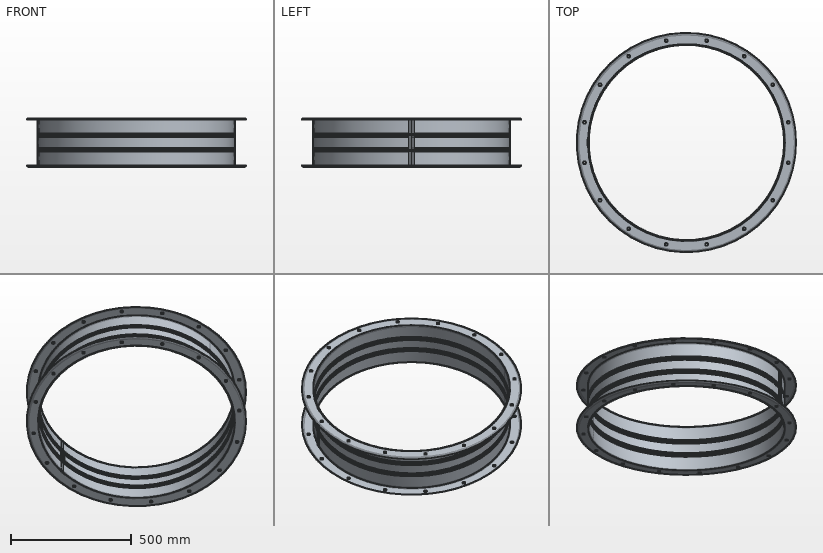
import cadquery as cq
import math

OUTER_RADIUS = 455.0
HEIGHT = 203.0
SHEET = 1.4

COLLAR_INNER_RADIUS = 404.0
COLLAR_END_Z = 21.0
COLLAR_BEND = 5.5
LIP_BEND = 7.0
LIP_LENGTH = 5.0
LIP_ANGLE = math.radians(45)
BOLT_COUNT = 16
BOLT_CIRCLE_RADIUS = 430.0
BOLT_HOLE_DIAMETER = 11.0

BEAD_START_Z = 39.0
BEAD_WIDTH = 12.0
BEAD_CREST_WIDTH = 7.0
BEAD_HEIGHT = 2.0

DUCT_HALF_LENGTH = 99.0
SEAM_STRIP_WIDTH = 25.0
SEAM_GAP = 1.0

TOP_Z = HEIGHT / 2
COLLAR_OUTER_RADIUS = COLLAR_INNER_RADIUS + SHEET
DUCT_INNER_RADIUS = COLLAR_OUTER_RADIUS + BEAD_HEIGHT
DUCT_OUTER_RADIUS = DUCT_INNER_RADIUS + SHEET
STRIP_OUTER_RADIUS = DUCT_OUTER_RADIUS + SHEET


def polar(center, radius, angle):
    """Point at an angle, in radians from the radial axis, around a center in the (radius, z) plane."""
    return (center[0] + radius * math.cos(angle), center[1] + radius * math.sin(angle))


def bead_points(collar_radius):
    """Trapezoid bead on one face of the collar, from its flange side to its free side."""
    slope_width = (BEAD_WIDTH - BEAD_CREST_WIDTH) / 2
    slope_angle = math.atan2(BEAD_HEIGHT, slope_width)
    shift = (COLLAR_OUTER_RADIUS - collar_radius) * math.tan(slope_angle / 2)
    foot_top = BEAD_START_Z - shift
    foot_bottom = BEAD_START_Z - BEAD_WIDTH + shift
    crest_radius = collar_radius + BEAD_HEIGHT
    return [
        (collar_radius, foot_top),
        (crest_radius, foot_top - slope_width),
        (crest_radius, foot_bottom + slope_width),
        (collar_radius, foot_bottom),
    ]


def make_upper_flange():
    """Bent sheet ring: beaded collar, flat bolting face and slanted outer lip."""
    face_underside_z = TOP_Z - SHEET
    collar_center = (COLLAR_INNER_RADIUS + COLLAR_BEND, TOP_Z - COLLAR_BEND)
    collar_mid_angle = math.radians(135)

    lip_normal = math.pi / 2 - LIP_ANGLE
    lip_mid_angle = math.pi / 2 - LIP_ANGLE / 2
    lip_under_bend = LIP_BEND - SHEET
    lip_center_radius = OUTER_RADIUS - LIP_BEND * math.sin(LIP_ANGLE) - LIP_LENGTH * math.cos(LIP_ANGLE)
    lip_center = (lip_center_radius, TOP_Z - LIP_BEND)

    def lip_end(bend_radius):
        start = polar(lip_center, bend_radius, lip_normal)
        return polar(start, LIP_LENGTH, -LIP_ANGLE)

    outer_bead = bead_points(COLLAR_OUTER_RADIUS)
    inner_bead = bead_points(COLLAR_INNER_RADIUS)
    section = cq.Workplane("XZ").moveTo(COLLAR_INNER_RADIUS, COLLAR_END_Z)
    for point in reversed(inner_bead):
        section = section.lineTo(*point)
    section = (
        section
        .lineTo(COLLAR_INNER_RADIUS, collar_center[1])
        .threePointArc(polar(collar_center, COLLAR_BEND, collar_mid_angle), (collar_center[0], TOP_Z))
        .lineTo(lip_center_radius, TOP_Z)
        .threePointArc(polar(lip_center, LIP_BEND, lip_mid_angle), polar(lip_center, LIP_BEND, lip_normal))
        .lineTo(*lip_end(LIP_BEND))
        .lineTo(*lip_end(lip_under_bend))
        .lineTo(*polar(lip_center, lip_under_bend, lip_normal))
        .threePointArc(
            polar(lip_center, lip_under_bend, lip_mid_angle), (lip_center_radius, face_underside_z)
        )
        .lineTo(collar_center[0], face_underside_z)
        .threePointArc(
            polar(collar_center, COLLAR_BEND - SHEET, collar_mid_angle),
            (COLLAR_OUTER_RADIUS, collar_center[1]),
        )
    )
    for point in outer_bead:
        section = section.lineTo(*point)
    ring = (
        section.lineTo(COLLAR_OUTER_RADIUS, COLLAR_END_Z)
        .close()
        .revolve(360, (0, 0, 0), (0, 1, 0))
    )
    half_pitch = 180 / BOLT_COUNT
    bolt_holes = (
        cq.Workplane("XY", origin=(0, 0, face_underside_z))
        .polarArray(BOLT_CIRCLE_RADIUS, half_pitch, 360, BOLT_COUNT)
        .circle(BOLT_HOLE_DIAMETER / 2)
        .extrude(SHEET)
    )
    return ring.cut(bolt_holes)


def tube(inner_radius, outer_radius):
    """Tube over the length of the duct, centered on the mid plane."""
    return (
        cq.Workplane("XY", origin=(0, 0, -DUCT_HALF_LENGTH))
        .circle(outer_radius)
        .circle(inner_radius)
        .extrude(2 * DUCT_HALF_LENGTH)
    )


def seam_block(width):
    """Block on the -X side, from the axis to the strip, centered on the longitudinal seam."""
    return cq.Workplane("XY", origin=(-STRIP_OUTER_RADIUS, 0, 0)).box(
        STRIP_OUTER_RADIUS, width, 2 * DUCT_HALF_LENGTH, centered=(False, True, True)
    )


def make_duct():
    """Sheet rolled to a round duct, its two edges joined by a curved strip on the outside."""
    rolled_sheet = tube(DUCT_INNER_RADIUS, DUCT_OUTER_RADIUS).cut(seam_block(SEAM_GAP))
    seam_strip = tube(DUCT_OUTER_RADIUS, STRIP_OUTER_RADIUS).intersect(seam_block(SEAM_STRIP_WIDTH))
    return rolled_sheet.union(seam_strip)


upper_flange = make_upper_flange()
lower_flange = upper_flange.mirror("XY")
duct = make_duct()

result = cq.Compound.makeCompound([duct.val(), upper_flange.val(), lower_flange.val()])